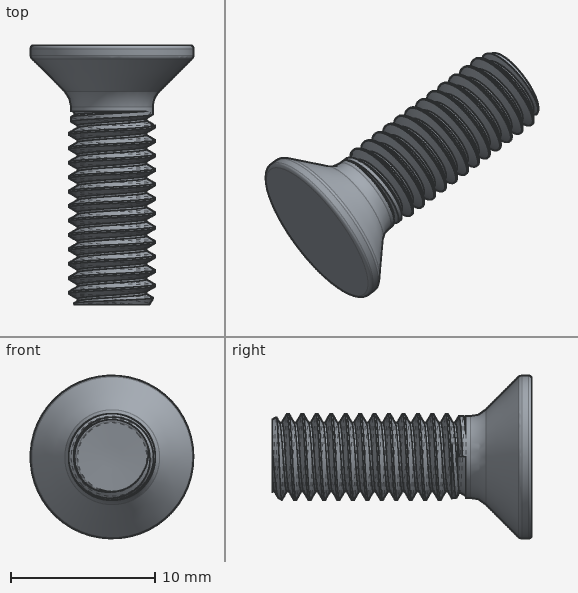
import cadquery as cq
import math

total_length = 18.0

head_radius = 5.65
head_edge_fillet = 0.25
rim_depth = 0.85
rim_fillet = 0.3
neck_radius = 2.85
neck_fillet = 1.51
neck_end_depth = 4.59

turns_per_span = 9
span_length = 9.0
pitch = span_length / turns_per_span
major_radius = 3.0
minor_radius = 2.4
crest_flat = pitch / 8
flank_angle = math.radians(30)
full_crest_depth = 5.55
runout_radius = 2.7
runout_length = 0.54
crest_depth = 16.65
turns_past_crest = 3
thread_turns = 15
root_overlap = 0.07
crest_overlap = 0.09
envelope_seam_angle = 100
core_seam_angle = 77

tip_radius = 2.6
tip_taper_angle = math.radians(60)
tip_dish_radius = 2.47
tip_dish_depth = 0.09
tip_taper_length = (major_radius - tip_radius) * math.tan(tip_taper_angle)


def revolve_profile(points):
    """Revolve (radius, depth) points, closed along the axis, into a solid."""
    outline = [(radius, -depth) for radius, depth in points]
    profile = cq.Workplane("XZ").polyline(outline).close()
    return profile.revolve(360, (0, 0, 0), (0, 1, 0))


def make_head():
    """90 degree countersunk head blending into a plain neck."""
    cone_end_depth = rim_depth + head_radius - neck_radius
    head = revolve_profile([
        (0, 0),
        (head_radius, 0),
        (head_radius, rim_depth),
        (neck_radius, cone_end_depth),
        (neck_radius, neck_end_depth),
        (0, neck_end_depth),
    ])

    margin = 0.02

    def circle_at(depth):
        return cq.selectors.BoxSelector(
            (-head_radius - margin, -head_radius - margin, -depth - margin),
            (head_radius + margin, head_radius + margin, -depth + margin),
            boundingbox=True,
        )

    head = head.edges(circle_at(cone_end_depth)).fillet(neck_fillet)
    head = head.edges(circle_at(rim_depth)).fillet(rim_fillet)
    return head.edges(circle_at(0)).fillet(head_edge_fillet)


def make_thread_envelope():
    """Outer limit of the thread, with a reduced start and a tapered tip."""
    return revolve_profile([
        (0, neck_end_depth),
        (neck_radius, neck_end_depth),
        (neck_radius, full_crest_depth),
        (major_radius, full_crest_depth),
        (major_radius, total_length - tip_taper_length),
        (tip_radius, total_length),
        (0, total_length),
    ])


def make_core():
    """Shank at the thread root, flaring into the neck where the groove runs out."""
    return revolve_profile([
        (0, neck_end_depth),
        (runout_radius, neck_end_depth),
        (minor_radius, neck_end_depth + runout_length),
        (minor_radius, total_length),
        (0, total_length),
    ])


def make_thread_ridge():
    """Right-handed helical ridge of ruled faces, longer than the shank at both ends."""
    start_height = -crest_depth - turns_past_crest * pitch
    inner_radius = minor_radius - root_overlap
    outer_radius = major_radius + crest_overlap

    def half_width(radius):
        return crest_flat / 2 + (major_radius - radius) * math.tan(flank_angle)

    corners = [
        (inner_radius, -half_width(inner_radius)),
        (outer_radius, -half_width(outer_radius)),
        (outer_radius, half_width(outer_radius)),
        (inner_radius, half_width(inner_radius)),
    ]
    helices = []
    for radius, offset in corners:
        helix = cq.Wire.makeHelix(pitch, thread_turns * pitch, radius)
        helices.append(helix.translate(cq.Vector(0, 0, start_height + offset)))
    faces = []
    for helix, next_helix in zip(helices, helices[1:] + helices[:1]):
        faces.append(cq.Face.makeRuledSurface(helix, next_helix))
    for end in (0, 1):
        end_outline = cq.Wire.makePolygon([helix.positionAt(end) for helix in helices], close=True)
        faces.append(cq.Face.makeFromWires(end_outline))
    return cq.Workplane(cq.Solid.makeSolid(cq.Shell.makeShell(faces)))


def make_tip_dish():
    """Shallow conical hollow in the end face of the tip."""
    return revolve_profile([
        (0, total_length - tip_dish_depth),
        (tip_dish_radius, total_length),
        (0, total_length),
    ])


axis_ends = ((0, 0, 0), (0, 0, 1))
envelope = make_thread_envelope().rotate(*axis_ends, envelope_seam_angle)
core = make_core().rotate(*axis_ends, core_seam_angle)
thread = make_thread_ridge().intersect(envelope)
screw = core.union(thread).union(make_head()).cut(make_tip_dish())

result = screw.rotate((0, 0, 0), (1, 0, 0), -90)